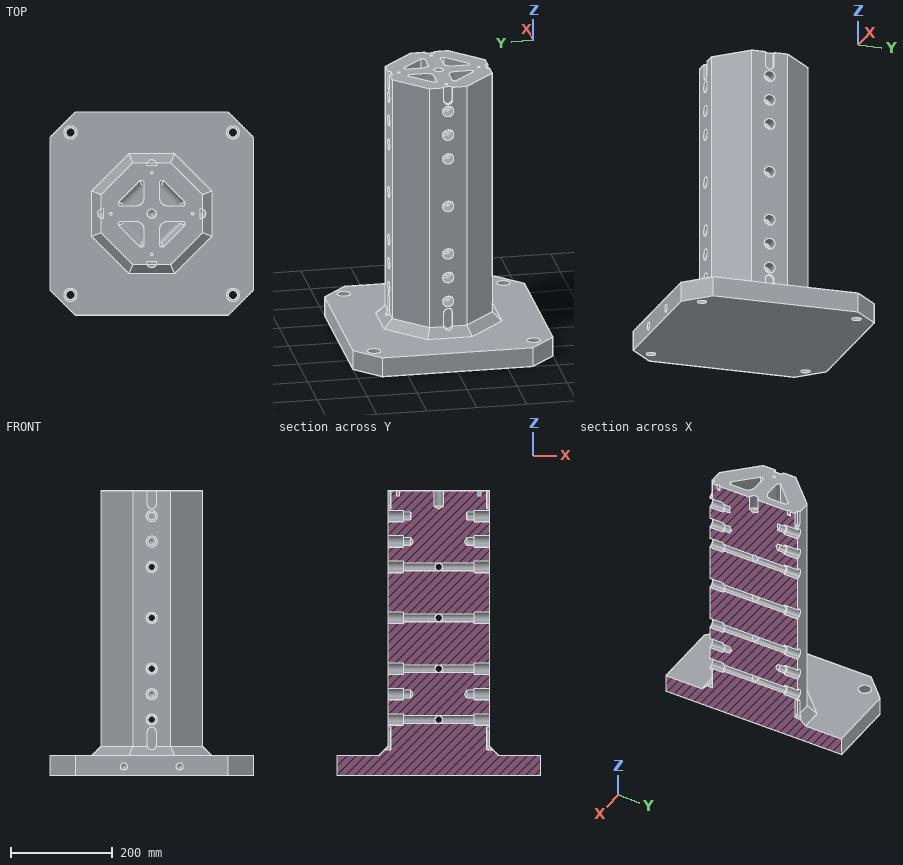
import cadquery as cq
import math

HEIGHT = 560.0
BASE_SIZE = 400.0
BASE_THICKNESS = 40.0
BASE_CORNER_CUT = 50.0
BOLT_OFFSET = 159.5
BOLT_HOLE_DIAMETER = 18.0
BOLT_COUNTERBORE_DIAMETER = 26.0
BOLT_COUNTERBORE_DEPTH = 20.0
SIDE_HOLE_OFFSET = 55.0
SIDE_HOLE_DIAMETER = 14.0
SIDE_HOLE_DEPTH = 30.0
SIDE_HOLE_Z = 18.0

COLUMN_WIDTH = BASE_SIZE / 2
COLUMN_FLAT = 74.5
FOOT_SIZE = 18.0
FOOT_SLOPE = 45
OCTAGON_TURN = 45

HOLE_PITCH = BASE_SIZE / 8
HOLE_DIAMETER = 14.5
COUNTERBORE_DIAMETER = 22.0
COUNTERBORE_DEPTH = 30.0
BLIND_HOLE_DEPTH = 45.0
THROUGH_HOLE_STEPS = (3, 5, 7, 9)
CONICAL_HOLE_STEPS = (2, 8)
FLAT_HOLE_STEPS = (1,)

KEYWAY_WIDTH = 18.0
KEYWAY_DEPTH = 5.5
TOP_KEYWAY_LENGTH = 35.0
FOOT_KEYWAY_BOTTOM = 51.5
FOOT_KEYWAY_TOP = 95.0

WALL = 35.0
WEB_THICKNESS = 31.0
CORE_FLOOR_Z = BASE_THICKNESS
CORE_FLOOR_RADIUS = 15.0
CORE_INNER_RADIUS = 15.0
CORE_TIP_RADIUS = 4.5

CENTER_HOLE_DIAMETER = 18.0
CENTER_HOLE_DEPTH = 30.0
PIN_HOLE_DIAMETER = 5.0
PIN_HOLE_DEPTH = 10.0
PIN_HOLE_OFFSET = 80.0

DRILL_TIP_ANGLE = 118
MAIN_FACE_ANGLES = (0, 90, 180, 270)


def octagon(width, flat, z):
    """Octagon outline at height z, with its main sides square to X and Y."""
    half = width / 2
    side = flat / 2
    points = []
    for sx, sy in ((1, 1), (-1, 1), (-1, -1), (1, -1)):
        corner = [(sx * half, sy * side), (sx * side, sy * half)]
        points += corner if sx * sy > 0 else corner[::-1]
    return cq.Workplane("XY").workplane(offset=z).polyline(points).close()


def flat_after_offset(flat, offset):
    """Main side length of the octagon once all its sides move outward."""
    return flat + 2 * offset * math.tan(math.radians(OCTAGON_TURN / 2))


def drill(point, direction, diameter, depth):
    """Flat-ended cylinder that starts at point and runs along direction."""
    cylinder = cq.Solid.makeCylinder(diameter / 2, depth, cq.Vector(*point), cq.Vector(*direction))
    return cq.Workplane(cylinder)


def pointed_drill(point, direction, diameter, depth):
    """Cylinder of the given depth with a conical drill tip."""
    axis = cq.Vector(*direction)
    tip_start = cq.Vector(*point) + axis * depth
    tip_length = diameter / 2 / math.tan(math.radians(DRILL_TIP_ANGLE / 2))
    tip = cq.Solid.makeCone(diameter / 2, 0, tip_length, tip_start, axis)
    return drill(point, direction, diameter, depth).union(cq.Workplane(tip))


def base_plate():
    plate = cq.Workplane("XY").box(BASE_SIZE, BASE_SIZE, BASE_THICKNESS, centered=(True, True, False))
    plate = plate.edges("|Z").chamfer(BASE_CORNER_CUT)
    bolt_points = [(sx * BOLT_OFFSET, sy * BOLT_OFFSET) for sx in (-1, 1) for sy in (-1, 1)]
    plate = (
        plate.faces(">Z").workplane(origin=(0, 0, BASE_THICKNESS)).pushPoints(bolt_points)
        .cboreHole(BOLT_HOLE_DIAMETER, BOLT_COUNTERBORE_DIAMETER, BOLT_COUNTERBORE_DEPTH)
    )
    for side in (-1, 1):
        start = (side * SIDE_HOLE_OFFSET, -BASE_SIZE / 2, SIDE_HOLE_Z)
        plate = plate.cut(pointed_drill(start, (0, 1, 0), SIDE_HOLE_DIAMETER, SIDE_HOLE_DEPTH))
    return plate


def column():
    shaft = octagon(COLUMN_WIDTH, COLUMN_FLAT, BASE_THICKNESS).extrude(HEIGHT - BASE_THICKNESS)
    foot_flat = flat_after_offset(COLUMN_FLAT, FOOT_SIZE)
    foot_outline = octagon(COLUMN_WIDTH + 2 * FOOT_SIZE, foot_flat, BASE_THICKNESS)
    foot = foot_outline.extrude(FOOT_SIZE, taper=FOOT_SLOPE)
    return shaft.union(foot)


def core_pockets():
    """Octagonal core with a rounded floor edge, split by the web into four pockets."""
    core_flat = flat_after_offset(COLUMN_FLAT, -WALL)
    core_depth = HEIGHT - CORE_FLOOR_Z
    core = octagon(COLUMN_WIDTH - 2 * WALL, core_flat, CORE_FLOOR_Z).extrude(core_depth)
    core = core.faces("<Z").edges().fillet(CORE_FLOOR_RADIUS)

    start = WEB_THICKNESS / 2
    size = COLUMN_WIDTH / 2 - WALL - start
    quarter = (
        cq.Workplane("XY").box(size, size, core_depth, centered=False)
        .translate((start, start, CORE_FLOOR_Z))
    )
    quarter = quarter.edges("|Z and <X and <Y").fillet(CORE_INNER_RADIUS)
    quarter = quarter.edges("|Z and (<X or <Y)").edges(">X or >Y").fillet(CORE_TIP_RADIUS)
    pocket = core.intersect(quarter)
    return [pocket.rotate((0, 0, 0), (0, 0, 1), angle) for angle in MAIN_FACE_ANGLES]


def keyway(bottom, top):
    """Round-ended keyway in the -Y face, cut outward from its flat floor."""
    length = top - bottom
    floor_y = -COLUMN_WIDTH / 2 + KEYWAY_DEPTH
    return (
        cq.Workplane("XZ", origin=(0, floor_y, (bottom + top) / 2))
        .slot2D(length, KEYWAY_WIDTH, angle=90).extrude(KEYWAY_DEPTH + FOOT_SIZE)
    )


def face_cutters():
    """Cuts in and beside the -Y face of the column."""
    inward = (0, 1, 0)

    def face_point(step):
        return (0, -COLUMN_WIDTH / 2, HEIGHT - step * HOLE_PITCH)

    cutters = [
        keyway(HEIGHT - TOP_KEYWAY_LENGTH, HEIGHT + KEYWAY_WIDTH),
        keyway(FOOT_KEYWAY_BOTTOM, FOOT_KEYWAY_TOP),
    ]
    for step in THROUGH_HOLE_STEPS + CONICAL_HOLE_STEPS + FLAT_HOLE_STEPS:
        cutters.append(drill(face_point(step), inward, COUNTERBORE_DIAMETER, COUNTERBORE_DEPTH))
    for step in THROUGH_HOLE_STEPS:
        cutters.append(drill(face_point(step), inward, HOLE_DIAMETER, COLUMN_WIDTH))
    for step in CONICAL_HOLE_STEPS:
        cutters.append(pointed_drill(face_point(step), inward, HOLE_DIAMETER, BLIND_HOLE_DEPTH))
    for step in FLAT_HOLE_STEPS:
        cutters.append(drill(face_point(step), inward, HOLE_DIAMETER, BLIND_HOLE_DEPTH))
    cutters.append(drill((0, -PIN_HOLE_OFFSET, HEIGHT), (0, 0, -1), PIN_HOLE_DIAMETER, PIN_HOLE_DEPTH))
    return cutters


body = base_plate().union(column())
for pocket in core_pockets():
    body = body.cut(pocket)
for cutter in face_cutters():
    for angle in MAIN_FACE_ANGLES:
        body = body.cut(cutter.rotate((0, 0, 0), (0, 0, 1), angle))
center_hole = pointed_drill((0, 0, HEIGHT), (0, 0, -1), CENTER_HOLE_DIAMETER, CENTER_HOLE_DEPTH)
result = body.cut(center_hole)